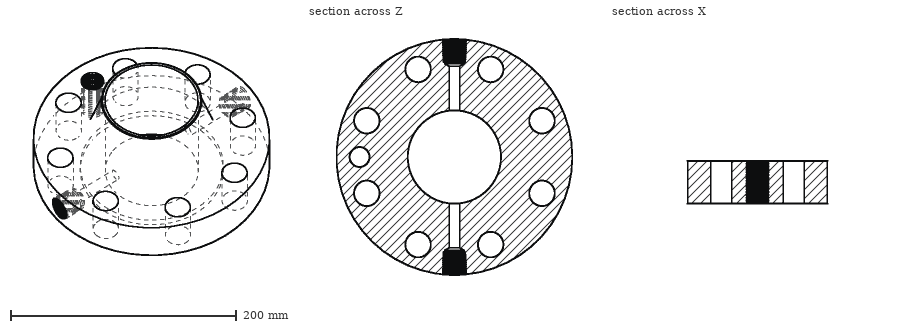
import cadquery as cq
import math

flange_diameter = 209.5
total_height = 95.3
bore_diameter = 82.5

raised_face_diameter = 127.0
raised_face_height = 6.3
flange_thickness = 38.0
flange_top = raised_face_height + flange_thickness

hub_base_diameter = 116.7
neck_diameter = 88.8
neck_length = 6.7
hub_fillet_radius = 3.4
weld_bevel_width = 0.8
weld_bevel_height = 0.6

bolt_count = 8
bolt_circle_diameter = 168.3
bolt_hole_diameter = 22.5

jack_major_diameter = 20.0
jack_minor_diameter = 17.4
jack_pitch = 2.5

tap_axis_height = 23.9
tap_major_diameter = 21.4
tap_thread_height = 1.5
tap_pitch = 1.82
tap_thread_count = 12
tap_taper = 1 / 16
tap_passage_diameter = 9.5
tap_drill_point_angle = 118.0


def thread_side(major_radius, thread_height, pitch, count, radial_taper=0.0):
    """Zigzag (radius, depth) points of ring-shaped V threads, from the mouth inwards."""
    points = []
    for turn in range(count):
        root_depth = turn * pitch
        crest_depth = root_depth + pitch / 2
        points.append((major_radius - radial_taper * root_depth, root_depth))
        points.append((major_radius - thread_height - radial_taper * crest_depth, crest_depth))
    end_depth = count * pitch
    points.append((major_radius - radial_taper * end_depth, end_depth))
    return points


def revolve_about_y(side_points):
    """Solid of revolution about Y from (radius, y) points listed along its outside."""
    outline = [(0, side_points[0][1])] + side_points + [(0, side_points[-1][1])]
    return cq.Workplane("XY").polyline(outline).close().revolve(360, (0, 0, 0), (0, 1, 0))


def make_body():
    """Flange, raised face, hub and neck, revolved about Z with the bore open."""
    bore_radius = bore_diameter / 2
    neck_radius = neck_diameter / 2
    body = (
        cq.Workplane("XZ")
        .moveTo(bore_radius, 0)
        .lineTo(raised_face_diameter / 2, 0)
        .lineTo(raised_face_diameter / 2, raised_face_height)
        .lineTo(flange_diameter / 2, raised_face_height)
        .lineTo(flange_diameter / 2, flange_top)
        .lineTo(hub_base_diameter / 2, flange_top)
        .lineTo(neck_radius, total_height - neck_length)
        .lineTo(neck_radius, total_height - weld_bevel_height)
        .lineTo(neck_radius - weld_bevel_width, total_height)
        .lineTo(bore_radius, total_height)
        .close()
        .revolve(360, (0, 0, 0), (0, 1, 0))
    )
    reach = hub_base_diameter / 2 + hub_fillet_radius
    low_corner = (-reach, -reach, flange_top - hub_fillet_radius)
    high_corner = (reach, reach, flange_top + hub_fillet_radius)
    hub_foot = cq.selectors.BoxSelector(low_corner, high_corner, boundingbox=True)
    return body.edges(hub_foot).fillet(hub_fillet_radius)


def make_bolt_holes():
    """Plain through-hole cutters, set half a step off the X axis."""
    half_step = 180 / bolt_count
    return (
        cq.Workplane("XY")
        .polarArray(bolt_circle_diameter / 2, half_step, 360, bolt_count)
        .circle(bolt_hole_diameter / 2)
        .extrude(flange_top)
    )


def make_jack_hole():
    """Threaded cutter running down through the flange plate."""
    thread_height = (jack_major_diameter - jack_minor_diameter) / 2
    turns = math.ceil(flange_thickness / jack_pitch)
    side = thread_side(jack_major_diameter / 2, thread_height, jack_pitch, turns)
    cutter = revolve_about_y(side).rotate((0, 0, 0), (1, 0, 0), -90)
    return cutter.translate((-bolt_circle_diameter / 2, 0, flange_top))


def make_pressure_tap():
    """Cutter for the tap entering from the -Y rim and running into the bore."""
    side = thread_side(
        tap_major_diameter / 2, tap_thread_height, tap_pitch, tap_thread_count, tap_taper / 2
    )
    end_radius, end_depth = side.pop()
    drill_radius = end_radius - tap_thread_height
    passage_radius = tap_passage_diameter / 2
    cone_length = (drill_radius - passage_radius) / math.tan(math.radians(tap_drill_point_angle / 2))
    side.append((drill_radius, end_depth))
    side.append((passage_radius, end_depth + cone_length))
    side.append((passage_radius, flange_diameter / 2))
    return revolve_about_y(side).translate((0, -flange_diameter / 2, tap_axis_height))


pressure_tap = make_pressure_tap()
result = make_body().cut(make_bolt_holes()).cut(make_jack_hole())
for tap_angle in (0, 180):
    result = result.cut(pressure_tap.rotate((0, 0, 0), (0, 0, 1), tap_angle))